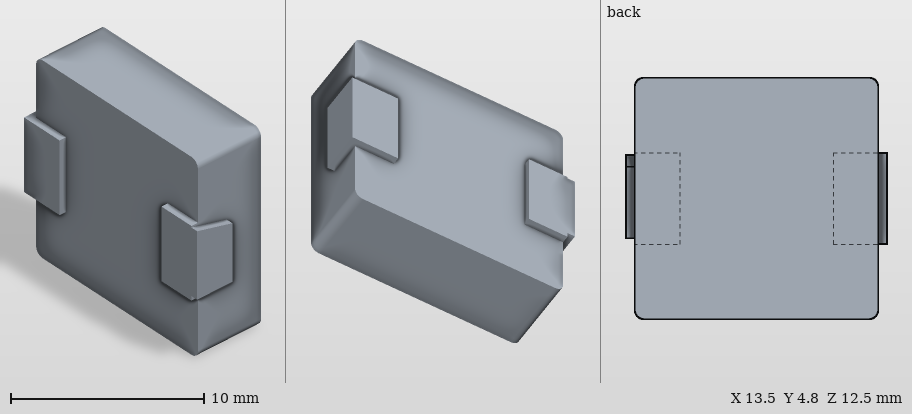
import cadquery as cq

overall_length = 13.5
overall_depth = 4.8
body_height = 12.5
metal_thickness = 0.45
corner_radius = 0.5

body_length = overall_length - 2 * metal_thickness
body_depth = overall_depth - metal_thickness
body_end = body_length / 2
terminal_end = overall_length / 2

pad_length = 2.78
pad_width = 4.71
leg_height = 2.46

right_leg_height = 2.43
right_leg_top = 2.25
right_leg_bottom = -2.07
right_leg_top_drop = 0.62


def make_body():
    return (
        cq.Workplane("XY")
        .box(body_length, body_depth, body_height, centered=(True, False, True))
        .edges("|Y")
        .fillet(corner_radius)
    )


def make_left_terminal():
    """L-shaped strip of constant width."""
    pad_tip = pad_length - terminal_end
    leg_tip = leg_height - metal_thickness
    return (
        cq.Workplane("XY")
        .moveTo(-terminal_end, -metal_thickness)
        .lineTo(pad_tip, -metal_thickness)
        .lineTo(pad_tip, 0)
        .lineTo(-body_end, 0)
        .lineTo(-body_end, leg_tip)
        .lineTo(-terminal_end, leg_tip)
        .close()
        .extrude(pad_width / 2, both=True)
    )


def make_right_terminal():
    """Full-width pad that ends flush with the body, joined to a narrower leg."""
    pad = cq.Workplane("XY").box(
        pad_length - metal_thickness, metal_thickness, pad_width, centered=(False, False, True)
    ).translate((terminal_end - pad_length, -metal_thickness, 0))
    leg_tip = right_leg_height - metal_thickness
    leg = (
        cq.Workplane("YZ", origin=(body_end, 0, 0))
        .moveTo(-metal_thickness, right_leg_bottom)
        .lineTo(leg_tip, right_leg_bottom)
        .lineTo(leg_tip, right_leg_top - right_leg_top_drop)
        .lineTo(-metal_thickness, right_leg_top)
        .close()
        .extrude(metal_thickness)
    )
    return pad.union(leg)


body = make_body()
left_terminal = make_left_terminal()
right_terminal = make_right_terminal()

result = cq.Compound.makeCompound([body.val(), left_terminal.val(), right_terminal.val()])